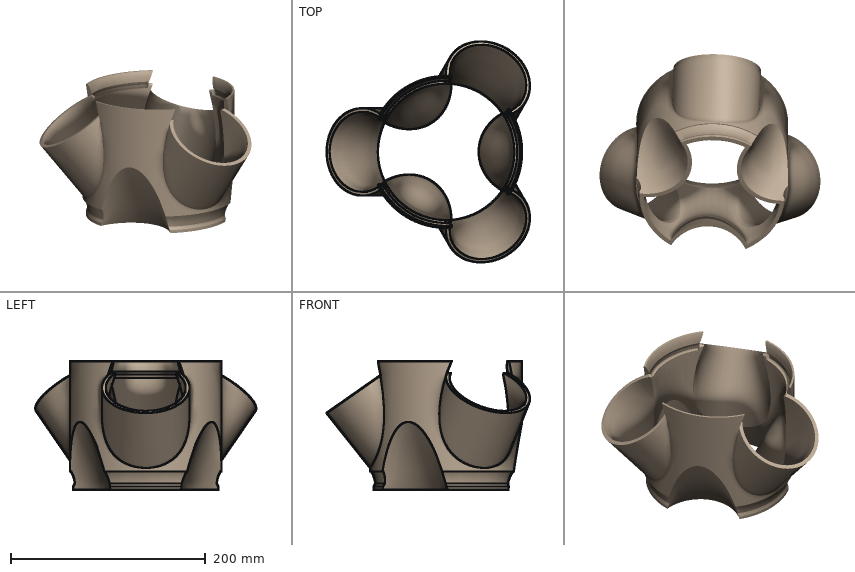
import cadquery as cq

height = 132.16
outer_radius = 156 / 2
inner_radius = 140 / 2

shoulder_height = 18.8
shoulder_radius = 77.0
neck_mid_height = 13.0
neck_mid_radius = 74.2
neck_height = 6.5
neck_radius = 73.0
lip_height = 3.2
lip_radius = 74.5

socket_depth = 17.2
socket_lift = height - socket_depth

wall = 4.0
tube_radius = 45.0
tube_lean = 38.5
tube_axis_offset = 2.7
tube_directions = (60, 180, 300)
rim_pitch = 35.0
rim_low_radius = 123.3
rim_low_height = 78.4

rim_end_radius = 73.0
rim_end_height = 120.0
rim_end_mid_radius = 71.0
rim_end_mid_height = 119.2
rim_end_inner_height = 118.0

recess_radius = 43.8
recess_lean = 30.0
recess_axis_offset = 88.4
recess_directions = (0, 120, 240)

reach = 300.0


def leaning_cylinder(radius, lean, axis_offset, direction):
    """Long cylinder whose axis leaves z = 0 at axis_offset and leans outward by lean degrees."""
    return (
        cq.Workplane("XY")
        .circle(radius)
        .extrude(reach, both=True)
        .rotate((0, 0, 0), (0, 1, 0), lean)
        .translate((axis_offset, 0, 0))
        .rotate((0, 0, 0), (0, 0, 1), direction)
    )


def body_bore():
    """Vertical bore of the body, prolonged below it to clear the inner ends of the tubes."""
    return cq.Workplane("XY").circle(inner_radius).extrude(height, both=True)


def body_envelope():
    """Full outer shape of the body, from the snap lip up to the flat top."""
    return (
        cq.Workplane("XZ")
        .lineTo(lip_radius, 0)
        .lineTo(lip_radius, lip_height)
        .lineTo(neck_radius, neck_height)
        .threePointArc((neck_mid_radius, neck_mid_height), (shoulder_radius, shoulder_height))
        .lineTo(outer_radius, shoulder_height)
        .lineTo(outer_radius, height)
        .lineTo(0, height)
        .close()
        .revolve()
    )


def socket():
    """Spigot-shaped space at the top of the body."""
    spigot = body_envelope().intersect(
        cq.Workplane("XY").circle(shoulder_radius).extrude(socket_depth)
    )
    return spigot.translate((0, 0, socket_lift))


def below_rim(direction):
    """Half-space under the sloping rim of a tube."""
    return (
        cq.Workplane("XY")
        .box(2 * reach, 2 * reach, reach, centered=(True, True, False))
        .translate((0, 0, -reach))
        .rotate((0, 0, 0), (0, 1, 0), rim_pitch)
        .translate((rim_low_radius, 0, rim_low_height))
        .rotate((0, 0, 0), (0, 0, 1), direction)
    )


def outer_half(direction):
    """Half-space on the side of the body that a tube leans towards."""
    return (
        cq.Workplane("XY")
        .box(reach, 2 * reach, 2 * reach, centered=(False, True, True))
        .rotate((0, 0, 0), (0, 0, 1), direction)
    )


def above_rim_ends():
    """Space inside the socket that trims the ends of the tube rims to a rounded shape."""
    return (
        cq.Workplane("XZ")
        .moveTo(0, rim_end_inner_height)
        .lineTo(inner_radius, rim_end_inner_height)
        .threePointArc((rim_end_mid_radius, rim_end_mid_height), (rim_end_radius, rim_end_height))
        .lineTo(rim_end_radius, height)
        .lineTo(0, height)
        .close()
        .revolve()
    )


def tube_space(radius, direction):
    cylinder = leaning_cylinder(radius, tube_lean, tube_axis_offset, direction)
    return cylinder.intersect(outer_half(direction))


def add_tube(part, bore, direction):
    """Open the body wall and set a tube, trimmed to its rim and to the bore, into the opening."""
    outside = tube_space(tube_radius, direction).cut(bore)
    inside = tube_space(tube_radius - wall, direction)
    tube = outside.cut(inside).intersect(below_rim(direction)).cut(above_rim_ends())
    return part.cut(outside).union(tube)


def recess_space(radius, direction):
    return leaning_cylinder(radius, recess_lean, recess_axis_offset, direction)


def recess_shell(envelope, bore, direction):
    """Material inside the bore that becomes the curved roof of a recess."""
    inside = envelope.intersect(bore)
    return inside.intersect(recess_space(recess_radius + wall, direction))


def build():
    envelope = body_envelope()
    bore = body_bore()
    part = envelope.cut(bore).cut(socket())
    for direction in recess_directions:
        part = part.union(recess_shell(envelope, bore, direction))
    for direction in recess_directions:
        part = part.cut(recess_space(recess_radius, direction))
    for direction in tube_directions:
        part = add_tube(part, bore, direction)
    return part


result = build()